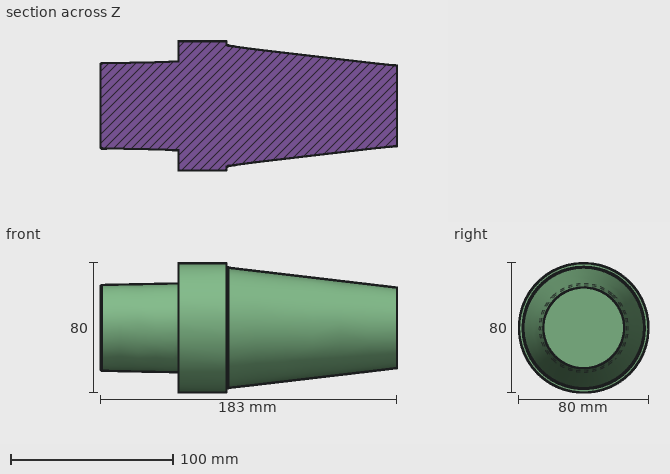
import cadquery as cq

total_length = 183.0

spigot_length = 48.1
neck_length = 2.2
neck_radius = 27.5
spigot_tip_radius = 26.5
tip_chamfer = 1.1

collar_radius = 39.99
collar_length = 29.8
collar_rounding = 1.0

root_length = 1.1
root_radius = 37.7
nose_base_radius = 37.1
nose_end_radius = 24.9

neck_start = spigot_length - neck_length
collar_end = spigot_length + collar_length
nose_start = collar_end + root_length

profile = (
    cq.Workplane("XZ")
    .moveTo(0, 0)
    .lineTo(0, spigot_tip_radius - tip_chamfer)
    .lineTo(tip_chamfer, spigot_tip_radius)
    .lineTo(neck_start, neck_radius)
    .lineTo(spigot_length, neck_radius)
    .lineTo(spigot_length, collar_radius)
    .lineTo(collar_end - collar_rounding, collar_radius)
    .radiusArc((collar_end, collar_radius - collar_rounding), collar_rounding)
    .lineTo(collar_end, root_radius)
    .lineTo(nose_start, nose_base_radius)
    .lineTo(total_length, nose_end_radius)
    .lineTo(total_length, 0)
    .close()
)

result = profile.revolve(360, (0, 0, 0), (1, 0, 0))